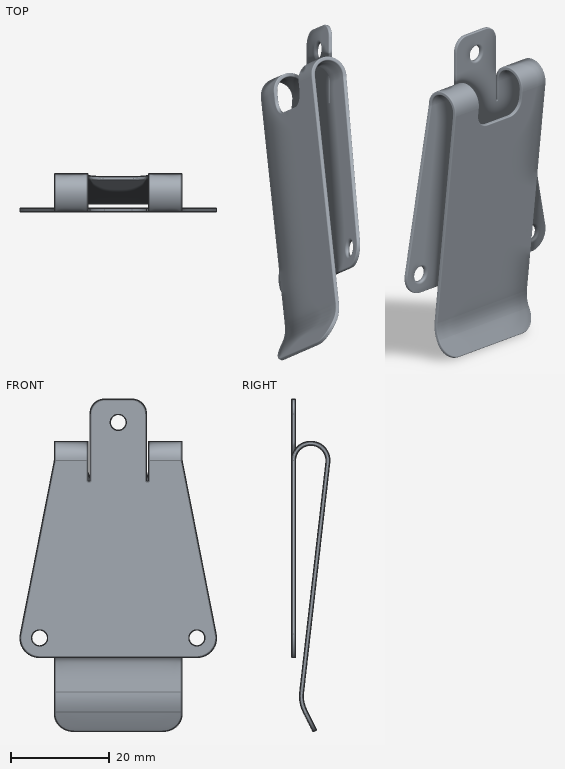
import cadquery as cq
import math

sheet = 0.8
edge_radius = 0.2

plate_height = 40.1
corner_radius = 4.0
corner_x = 16.0
hole_diameter = 3.2
hole_rim_radius = 0.5

tab_width = 11.5
tab_rise = 12.5
tab_corner_radius = 3.0
tab_hole_from_tip = 4.75
slit_width = 0.4
slit_depth = 4.2

strip_width = 26.0
roll_radius = 3.9
leg_angle = 6.5
leg_length = 47.1
foot_angle = 26.5
foot_bend_radius = 6.3
foot_corner_radius = 4.0
unrounded_height = 67.71
window_depth = 4.7
window_corner_radius = 3.0

window_width = tab_width + 2 * slit_width
tab_top = plate_height + tab_rise
foot_bottom = tab_top - unrounded_height
leg_tilt = math.radians(leg_angle)
foot_tilt = math.radians(foot_angle)


def along(point, direction, distance):
    """Point reached from a start point, in the YZ plane."""
    return (point[0] + direction[0] * distance, point[1] + direction[1] * distance)


def polar(centre, radius, angle):
    """Point on a circle in the YZ plane, the angle measured from +Y towards +Z."""
    return along(centre, (math.cos(angle), math.sin(angle)), radius)


roll_centre = (roll_radius, plate_height)
leg_direction = (-math.sin(leg_tilt), -math.cos(leg_tilt))
foot_direction = (math.sin(foot_tilt), -math.cos(foot_tilt))
leg_start = polar(roll_centre, roll_radius, -leg_tilt)


def make_plate():
    """Tapered plate with its sides tangent to the lower corner arcs."""
    half_strip = strip_width / 2
    reach_x = half_strip - corner_x
    reach_z = plate_height - corner_radius
    tangent_angle = math.atan2(reach_z, reach_x) - math.acos(corner_radius / math.hypot(reach_x, reach_z))

    def corner_point(angle, side):
        return (
            side * (corner_x + corner_radius * math.cos(angle)),
            corner_radius + corner_radius * math.sin(angle),
        )

    outline = (
        cq.Workplane("XZ")
        .moveTo(-corner_x, 0)
        .lineTo(corner_x, 0)
        .radiusArc(corner_point(tangent_angle, 1), -corner_radius)
        .lineTo(half_strip, plate_height)
        .lineTo(-half_strip, plate_height)
        .lineTo(*corner_point(tangent_angle, -1))
        .radiusArc((-corner_x, 0), -corner_radius)
        .close()
    )
    return outline.extrude(-sheet)


def make_tab():
    """Upright tab with rounded top corners, overlapping the plate down to the slit ends."""
    height = tab_rise + slit_depth
    return (
        cq.Workplane("XY")
        .box(tab_width, sheet, height, centered=(True, False, False))
        .translate((0, 0, plate_height - slit_depth))
        .edges("|Y and >Z")
        .fillet(tab_corner_radius)
    )


def make_slits():
    """Round-ended slits either side of the tab."""
    slit_x = (tab_width + slit_width) / 2
    end_z = plate_height - slit_depth + slit_width / 2
    rise = tab_top - end_z
    ends = cq.Workplane("XZ").pushPoints([(-slit_x, end_z), (slit_x, end_z)])
    runs = cq.Workplane("XZ").pushPoints([(-slit_x, end_z + rise / 2), (slit_x, end_z + rise / 2)])
    return ends.circle(slit_width / 2).extrude(-sheet).union(runs.rect(slit_width, rise).extrude(-sheet))


def make_holes():
    """Two lower corner holes and one in the tab."""
    centres = [
        (-corner_x, corner_radius),
        (corner_x, corner_radius),
        (0, tab_top - tab_hole_from_tip),
    ]
    return cq.Workplane("XZ").pushPoints(centres).circle(hole_diameter / 2).extrude(-sheet)


def make_strip():
    """Roll, leg and foot, swept across the strip width."""
    roll_inner = roll_radius - sheet
    roll_middle = (math.pi - leg_tilt) / 2
    leg_inner_start = polar(roll_centre, roll_inner, -leg_tilt)
    leg_end = along(leg_start, leg_direction, leg_length)
    leg_inner_end = along(leg_inner_start, leg_direction, leg_length)

    bend_centre = polar(leg_end, foot_bend_radius, -leg_tilt)
    bend_outer = foot_bend_radius + sheet
    bend_end_angle = math.pi + foot_tilt
    bend_middle = math.pi + (foot_tilt - leg_tilt) / 2
    foot_start = polar(bend_centre, foot_bend_radius, bend_end_angle)
    foot_inner_start = polar(bend_centre, bend_outer, bend_end_angle)
    foot_length = (foot_inner_start[1] - foot_bottom) / math.cos(foot_tilt)

    profile = (
        cq.Workplane("YZ")
        .moveTo(0, plate_height)
        .threePointArc(polar(roll_centre, roll_radius, roll_middle), leg_start)
        .lineTo(*leg_end)
        .threePointArc(polar(bend_centre, foot_bend_radius, bend_middle), foot_start)
        .lineTo(*along(foot_start, foot_direction, foot_length))
        .lineTo(*along(foot_inner_start, foot_direction, foot_length))
        .lineTo(*foot_inner_start)
        .threePointArc(polar(bend_centre, bend_outer, bend_middle), leg_inner_end)
        .lineTo(*leg_inner_start)
        .threePointArc(polar(roll_centre, roll_inner, roll_middle), (sheet, plate_height))
        .close()
    )
    strip = profile.extrude(strip_width / 2, both=True)
    return strip.faces("<Z").edges("not |X").fillet(foot_corner_radius)


def make_window():
    """Opening through the roll and the top of the leg, rounded at its lower corners."""
    leg_plane = cq.Plane(
        origin=(0, *leg_start),
        xDir=(1, 0, 0),
        normal=(0, math.cos(leg_tilt), -math.sin(leg_tilt)),
    )
    reach = 3 * roll_radius
    opening = (
        cq.Workplane("XY")
        .box(window_width, window_depth + reach, 2 * reach)
        .translate((0, (window_depth - reach) / 2, 0))
        .edges("|Z and >Y")
        .fillet(window_corner_radius)
    )
    return cq.Workplane(opening.val().moved(leg_plane.location))


def round_cut_edges(body):
    """Round both rims of every cut edge of the sheet, seams between sheet faces excluded."""
    largest_wall = 50.0
    sheet_faces = [face for face in body.Faces() if face.Area() > largest_wall]
    edges = [edge for face in sheet_faces for edge in face.Edges()]
    rims = [edge for edge in edges if sum(edge.isSame(other) for other in edges) == 1]
    return body.fillet(edge_radius, rims)


def round_rear_hole_rims(body):
    """Round the rear rims of the holes; their front rims stay sharp."""
    hole_radius = hole_diameter / 2
    tolerance = 0.001
    circles = [edge for edge in body.Edges() if edge.geomType() == "CIRCLE"]
    rims = [
        edge
        for edge in circles
        if abs(edge.radius() - hole_radius) < tolerance and edge.Center().y > sheet / 2
    ]
    return body.fillet(hole_rim_radius, rims)


strip = make_strip().cut(make_window())
plate = make_plate().union(make_tab()).cut(make_slits())
clip = round_cut_edges(plate.union(strip).val().Solids()[0])
clip = clip.cut(make_holes().val())
result = cq.Workplane(round_rear_hole_rims(clip.Solids()[0]))